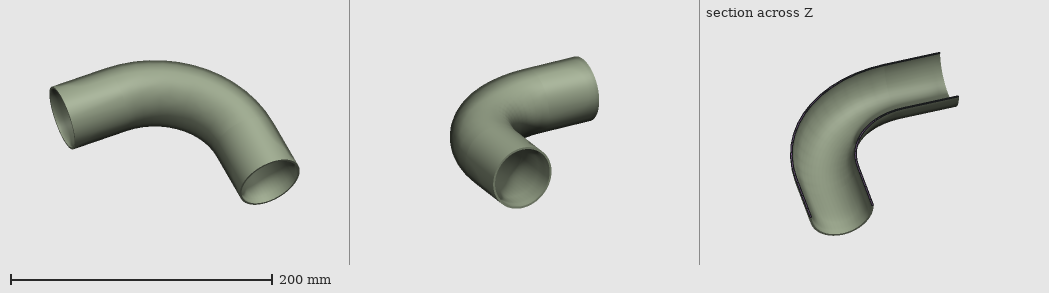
import cadquery as cq
import math

outer_diameter = 50.8
inner_diameter = 47.5
bend_radius = 76.1
bend_angle = 88.0
length_y = 147.5

outer_radius = outer_diameter / 2
turn = math.radians(bend_angle)

straight_length = (length_y - (bend_radius + outer_radius) * math.sin(turn)) / (1 + math.cos(turn))


def point_on_bend(angle):
    """Centreline point after turning through the given angle in radians."""
    x = bend_radius * (1 - math.cos(angle))
    y = straight_length + bend_radius * math.sin(angle)
    return (x, y)


bend_end = point_on_bend(turn)
tube_end = (
    bend_end[0] + straight_length * math.sin(turn),
    bend_end[1] + straight_length * math.cos(turn),
)
centreline = (
    cq.Workplane("XY")
    .lineTo(0, straight_length)
    .threePointArc(point_on_bend(turn / 2), bend_end)
    .lineTo(*tube_end)
)

result = (
    cq.Workplane("XZ")
    .circle(outer_radius)
    .circle(inner_diameter / 2)
    .sweep(centreline)
)